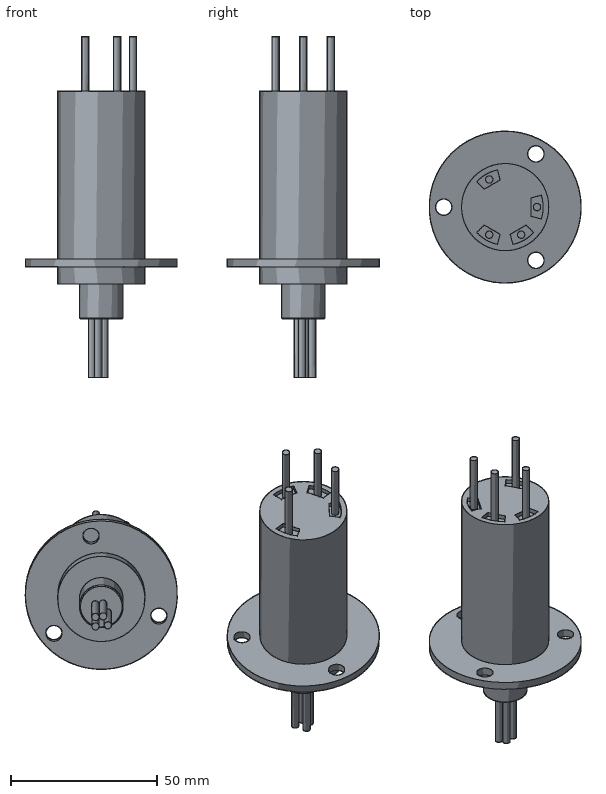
import cadquery as cq
import math

body_radius = 14.9
body_height = 66.0

flange_radius = 26.0
flange_thickness = 2.8
flange_bottom = 5.9
bolt_circle_radius = 21.0
bolt_hole_diameter = 5.5
bolt_hole_angles = (60, 180, 300)

hub_radius = 7.5
hub_length = 11.9
hub_chamfer = 0.4

pocket_angles = (0, 120, 240, 300)
pocket_depth = 1.5
pocket_outer_radius = 13.0
pocket_inner_distance = 8.9
pocket_inner_half_width = 3.15
pocket_side_angle = 15.0

wire_radius = 1.25
upper_wire_circle_radius = 10.9
upper_wire_rise = 18.6
lower_wire_length = 20.0
lower_wire_centers = ((-3.1, 0.65), (-1.05, -1.9), (1.15, -0.4), (0.4, 3.05))

wire_root = 1.0


def cylinder(radius, bottom, height):
    return cq.Workplane("XY").workplane(offset=bottom).circle(radius).extrude(height)


def polar_point(radius, angle):
    return (radius * math.cos(math.radians(angle)), radius * math.sin(math.radians(angle)))


def make_flange():
    flange = cylinder(flange_radius, flange_bottom, flange_thickness)
    holes = (
        cq.Workplane("XY")
        .workplane(offset=flange_bottom)
        .pushPoints([polar_point(bolt_circle_radius, angle) for angle in bolt_hole_angles])
        .circle(bolt_hole_diameter / 2)
        .extrude(flange_thickness)
    )
    return flange.cut(holes)


def make_hub():
    return cylinder(hub_radius, -hub_length, hub_length).faces("<Z").chamfer(hub_chamfer)


def make_pocket(angle):
    """Straight inner wall, sides flaring outwards, and an outer wall along a circle."""
    flare = (pocket_outer_radius - pocket_inner_distance) * math.tan(math.radians(pocket_side_angle))
    outer_half_width = pocket_inner_half_width + flare
    wedge = (
        cq.Workplane("XY")
        .workplane(offset=body_height - pocket_depth)
        .moveTo(pocket_inner_distance, -pocket_inner_half_width)
        .lineTo(pocket_outer_radius, -outer_half_width)
        .lineTo(pocket_outer_radius, outer_half_width)
        .lineTo(pocket_inner_distance, pocket_inner_half_width)
        .close()
        .extrude(pocket_depth)
    )
    limit = cylinder(pocket_outer_radius, body_height - pocket_depth, pocket_depth)
    return wedge.intersect(limit).rotate((0, 0, 0), (0, 0, 1), angle)


def make_upper_wire(angle):
    x, y = polar_point(upper_wire_circle_radius, angle)
    below_top = pocket_depth + wire_root
    wire = cylinder(wire_radius, body_height - below_top, below_top + upper_wire_rise)
    return wire.translate((x, y, 0))


def make_lower_wire(x, y):
    wire = cylinder(wire_radius, -hub_length - lower_wire_length, lower_wire_length + wire_root)
    return wire.translate((x, y, 0))


result = cylinder(body_radius, 0, body_height).union(make_flange()).union(make_hub())

for angle in pocket_angles:
    result = result.cut(make_pocket(angle)).union(make_upper_wire(angle))

for x, y in lower_wire_centers:
    result = result.union(make_lower_wire(x, y))